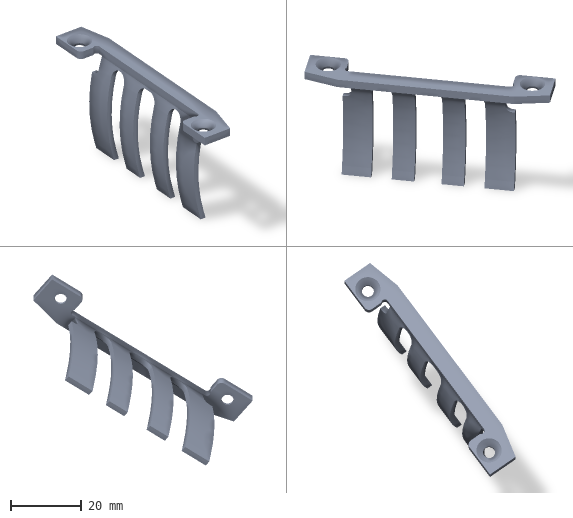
import cadquery as cq
import math

LENGTH = 71.0
DEPTH = 11.5
THICKNESS = 2.5
BEAM_DEPTH = 5.0
BACK_TAPER_LENGTH = 10.0
BACK_TAPER_DEPTH = 2.5
EAR_WIDTH = 11.4
EAR_CORNER_RADIUS = 1.5
RELIEF_RADIUS = 1.0
RELIEF_OVERCUT = 0.35

HOLE_DIAMETER = 3.4
COUNTERSINK_DIAMETER = 7.2
COUNTERSINK_ANGLE = 90
HOLE_END_DISTANCE = 5.95
HOLE_FRONT_DISTANCE = 4.0

BLADE_WIDTH = 49.85
BLADE_THICKNESS = 1.6
BLADE_RADIUS = 50.0
BLADE_APEX_Y = -7.5
BLADE_APEX_Z = -18.45
STRAIGHT_TIP_TOP_Z = -32.0
BLADE_BOTTOM_Z = -34.2
ROOT_CHAMFER = 0.65

SLOT_TOP_Z = -3.4
SLOT_CORNER_RADIUS = 3.0
SIDE_SLOT_X = 13.4
SIDE_SLOT_WIDTH = 2 * SLOT_CORNER_RADIUS
CENTER_SLOT_WIDTH = 7.95
NECK_WIDTH = 44.6
NECK_BOTTOM_Z = -8.5
NECK_RADIUS = 2.0

CUT_MARGIN = 3.55
HALF_LENGTH = LENGTH / 2
EAR_INNER_X = HALF_LENGTH - EAR_WIDTH


def make_bar():
    taper_x = HALF_LENGTH - BACK_TAPER_LENGTH
    bar = (
        cq.Workplane("XY")
        .polyline([
            (-HALF_LENGTH, -DEPTH),
            (HALF_LENGTH, -DEPTH),
            (HALF_LENGTH, -BACK_TAPER_DEPTH),
            (taper_x, 0),
            (-taper_x, 0),
            (-HALF_LENGTH, -BACK_TAPER_DEPTH),
        ])
        .close()
        .extrude(-THICKNESS)
    )
    bar = bar.cut(make_front_recess())
    hole_x = HALF_LENGTH - HOLE_END_DISTANCE
    hole_y = HOLE_FRONT_DISTANCE - DEPTH
    return (
        bar.faces(">Z")
        .workplane(origin=(0, 0, 0))
        .pushPoints([(-hole_x, hole_y), (hole_x, hole_y)])
        .cskHole(HOLE_DIAMETER, COUNTERSINK_DIAMETER, COUNTERSINK_ANGLE)
    )


def make_front_recess():
    """Space between the ears, with rounded ear tips and relieved inner corners."""
    front_y = -DEPTH
    back_y = -BEAM_DEPTH
    tip_r = EAR_CORNER_RADIUS
    relief_r = RELIEF_RADIUS
    relief_x = EAR_INNER_X + RELIEF_OVERCUT - relief_r
    relief_y = back_y - relief_r
    crossing_y = relief_y - math.sqrt(relief_r**2 - (EAR_INNER_X - relief_x) ** 2)
    diagonal = relief_r / math.sqrt(2)
    half = (
        cq.Workplane("XY")
        .moveTo(0, front_y)
        .lineTo(EAR_INNER_X + tip_r, front_y)
        .radiusArc((EAR_INNER_X, front_y + tip_r), tip_r)
        .lineTo(EAR_INNER_X, crossing_y)
        .threePointArc((relief_x + diagonal, relief_y + diagonal), (relief_x, back_y))
        .lineTo(0, back_y)
        .close()
        .extrude(-THICKNESS)
    )
    return half.union(half.mirror("YZ"))


def blade_point(radius, z):
    """(Y, Z) point at height z on an arc concentric with the blade."""
    center_y = BLADE_APEX_Y + BLADE_RADIUS
    return (center_y - math.sqrt(radius**2 - (z - BLADE_APEX_Z) ** 2), z)


def make_blade():
    inner_radius = BLADE_RADIUS - BLADE_THICKNESS
    tip_angle = math.asin((BLADE_APEX_Z - STRAIGHT_TIP_TOP_Z) / BLADE_RADIUS)
    inner_tip_top_z = BLADE_APEX_Z - inner_radius * math.sin(tip_angle)
    outer_tip = blade_point(BLADE_RADIUS, STRAIGHT_TIP_TOP_Z)
    inner_tip = blade_point(inner_radius, inner_tip_top_z)

    def tip_end(start):
        return (start[0] + (start[1] - BLADE_BOTTOM_Z) * math.tan(tip_angle), BLADE_BOTTOM_Z)

    center_y = BLADE_APEX_Y + BLADE_RADIUS
    outer_top_z = BLADE_APEX_Z + math.sqrt(BLADE_RADIUS**2 - (center_y + BEAM_DEPTH) ** 2)
    chamfer_end = blade_point(inner_radius, -THICKNESS - ROOT_CHAMFER)
    chamfer_start_y = chamfer_end[0] + ROOT_CHAMFER
    return (
        cq.Workplane("YZ")
        .moveTo(-BEAM_DEPTH, -THICKNESS)
        .lineTo(-BEAM_DEPTH, outer_top_z)
        .threePointArc((BLADE_APEX_Y, BLADE_APEX_Z), outer_tip)
        .lineTo(*tip_end(outer_tip))
        .lineTo(*tip_end(inner_tip))
        .lineTo(*inner_tip)
        .threePointArc(blade_point(inner_radius, BLADE_APEX_Z), chamfer_end)
        .lineTo(chamfer_start_y, -THICKNESS)
        .close()
        .extrude(BLADE_WIDTH / 2, both=True)
    )


def make_finger_slot(center_x, width):
    """Open-bottomed slot through the blade with rounded upper corners."""
    half = width / 2
    r = SLOT_CORNER_RADIUS
    bottom_z = BLADE_BOTTOM_Z - CUT_MARGIN
    outline = (
        cq.Workplane("XZ")
        .moveTo(center_x - half, bottom_z)
        .lineTo(center_x - half, SLOT_TOP_Z - r)
        .radiusArc((center_x - half + r, SLOT_TOP_Z), r)
    )
    if half > r:
        outline = outline.lineTo(center_x + half - r, SLOT_TOP_Z)
    return (
        outline.radiusArc((center_x + half, SLOT_TOP_Z - r), r)
        .lineTo(center_x + half, bottom_z)
        .close()
        .extrude(DEPTH, both=True)
    )


def make_neck_notch(side):
    """Notch beside the blade's root, rounded at its inner lower corner."""
    inner_x = side * NECK_WIDTH / 2
    outer_x = side * (BLADE_WIDTH / 2 + CUT_MARGIN)
    return (
        cq.Workplane("XZ")
        .moveTo(outer_x, -THICKNESS)
        .lineTo(inner_x, -THICKNESS)
        .lineTo(inner_x, NECK_BOTTOM_Z + NECK_RADIUS)
        .radiusArc((inner_x + side * NECK_RADIUS, NECK_BOTTOM_Z), -side * NECK_RADIUS)
        .lineTo(outer_x, NECK_BOTTOM_Z)
        .close()
        .extrude(DEPTH, both=True)
    )


blade = make_blade()
for slot_x, slot_width in (
    (-SIDE_SLOT_X, SIDE_SLOT_WIDTH),
    (0, CENTER_SLOT_WIDTH),
    (SIDE_SLOT_X, SIDE_SLOT_WIDTH),
):
    blade = blade.cut(make_finger_slot(slot_x, slot_width))
for notch_side in (-1, 1):
    blade = blade.cut(make_neck_notch(notch_side))

result = make_bar().union(blade)